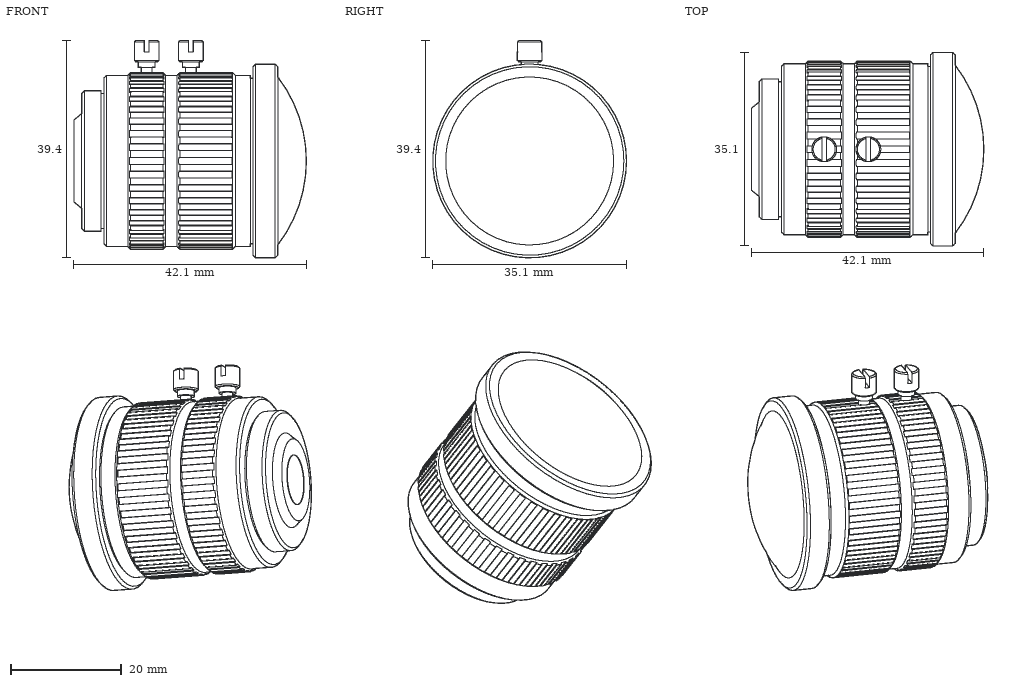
import cadquery as cq
import math


mount_start = 1.4
mount_end = 4.9
body_start = 5.4
body_end = 31.9
flange_start = 32.35
flange_end = 36.9
dome_tip = 42.07

rear_radius = 7.45
rear_cone_radius = 8.6
rear_window_radius = 4.5
mount_radius = 12.75
mount_neck_radius = 12.25
body_radius = 15.5
body_neck_radius = 15.0
flange_radius = 17.55
dome_radius = 15.2

edge_chamfer = 0.5
flange_chamfer = 0.5
rear_window_depth = 0.1

ring_radius = 16.0
ring_chamfer = ring_radius - body_radius
iris_ring_start = 9.75
iris_ring_end = 16.6
focus_ring_start = 18.65
focus_ring_end = 29.2
focus_ring_lip = 0.15

groove_count = 40
groove_width = 1.25
groove_depth = 0.2

iris_screw_x = 13.15
focus_screw_x = 21.15
screw_top = 21.8
screw_head_height = 3.85
screw_head_radius = 2.25
screw_head_chamfer = 0.25
screw_collar_height = 1.0
screw_collar_radius = 1.55
screw_stem_radius = 1.0
screw_stem_foot = 14.5
screw_slot_width = 0.8
screw_slot_depth = 2.05


def make_barrel():
    """Revolved lens body from the rear cone to the front dome."""
    sag = dome_tip - flange_end
    sphere_radius = (dome_radius**2 + sag**2) / (2 * sag)
    half_angle = math.asin(dome_radius / sphere_radius) / 2
    dome_mid = (
        dome_tip - sphere_radius * (1 - math.cos(half_angle)),
        sphere_radius * math.sin(half_angle),
    )
    profile = (
        cq.Workplane("XY")
        .moveTo(0, 0)
        .lineTo(0, rear_radius)
        .lineTo(mount_start, rear_cone_radius)
        .lineTo(mount_start, mount_radius - edge_chamfer)
        .lineTo(mount_start + edge_chamfer, mount_radius)
        .lineTo(mount_end, mount_radius)
        .lineTo(mount_end, mount_neck_radius)
        .lineTo(body_start, mount_neck_radius)
        .lineTo(body_start, body_radius - edge_chamfer)
        .lineTo(body_start + edge_chamfer, body_radius)
        .lineTo(body_end, body_radius)
        .lineTo(body_end, body_neck_radius)
        .lineTo(flange_start, body_neck_radius)
        .lineTo(flange_start, flange_radius - flange_chamfer)
        .lineTo(flange_start + flange_chamfer, flange_radius)
        .lineTo(flange_end - flange_chamfer, flange_radius)
        .lineTo(flange_end, flange_radius - flange_chamfer)
        .lineTo(flange_end, dome_radius)
        .threePointArc(dome_mid, (dome_tip, 0))
        .close()
    )
    barrel = profile.revolve(360, (0, 0, 0), (1, 0, 0))
    window = cq.Workplane("YZ").circle(rear_window_radius).extrude(rear_window_depth)
    return barrel.cut(window)


def make_ring(start, end, groove_end):
    """Chamfered control ring with straight grooves, one of them centred on +Z."""
    length = end - start
    ring = (
        cq.Workplane("YZ", origin=(start, 0, 0))
        .circle(ring_radius)
        .extrude(length)
        .faces("<X or >X")
        .chamfer(ring_chamfer)
    )
    groove_length = groove_end - start
    cutters = (
        cq.Workplane("YZ", origin=(start, 0, 0))
        .polarArray(ring_radius, 0, 360, groove_count)
        .rect(2 * groove_depth, groove_width)
        .extrude(groove_length)
    )
    return ring.cut(cutters)


def make_screw(x):
    """Slotted locking screw standing on the barrel along +Z."""
    head_bottom = screw_top - screw_head_height
    collar_bottom = head_bottom - screw_collar_height
    head = (
        cq.Workplane("XY", origin=(x, 0, head_bottom))
        .circle(screw_head_radius)
        .extrude(screw_head_height)
        .faces("<Z or >Z")
        .chamfer(screw_head_chamfer)
    )
    slot = (
        cq.Workplane("XY", origin=(x, 0, screw_top - screw_slot_depth))
        .rect(screw_slot_width, 2 * screw_head_radius)
        .extrude(screw_slot_depth)
    )
    collar = (
        cq.Workplane("XY", origin=(x, 0, collar_bottom))
        .circle(screw_collar_radius)
        .extrude(screw_collar_height)
    )
    stem = (
        cq.Workplane("XY", origin=(x, 0, screw_stem_foot))
        .circle(screw_stem_radius)
        .extrude(collar_bottom - screw_stem_foot)
    )
    return head.cut(slot).union(collar).union(stem)


iris_ring = make_ring(iris_ring_start, iris_ring_end, iris_ring_end)
focus_groove_end = focus_ring_end - ring_chamfer - focus_ring_lip
focus_ring = make_ring(focus_ring_start, focus_ring_end, focus_groove_end)

result = (
    make_barrel()
    .union(iris_ring)
    .union(focus_ring)
    .union(make_screw(iris_screw_x))
    .union(make_screw(focus_screw_x))
)